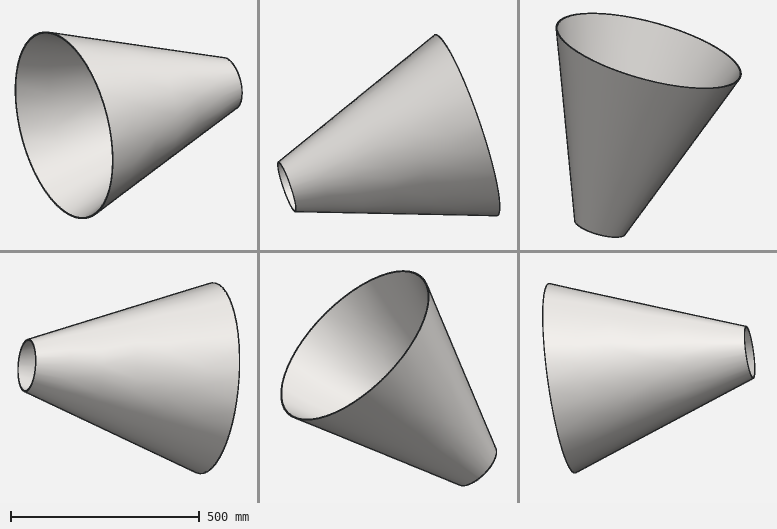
import cadquery as cq

length = 508.0
wide_diameter = 508.0
narrow_diameter = 139.5
wall = 3.0

wide_radius = wide_diameter / 2
narrow_radius = narrow_diameter / 2

wall_section = [
    (wide_radius - wall, 0),
    (wide_radius, 0),
    (narrow_radius, length),
    (narrow_radius - wall, length),
]

result = (
    cq.Workplane("XY")
    .polyline(wall_section)
    .close()
    .revolve(360, (0, 0, 0), (0, 1, 0))
)